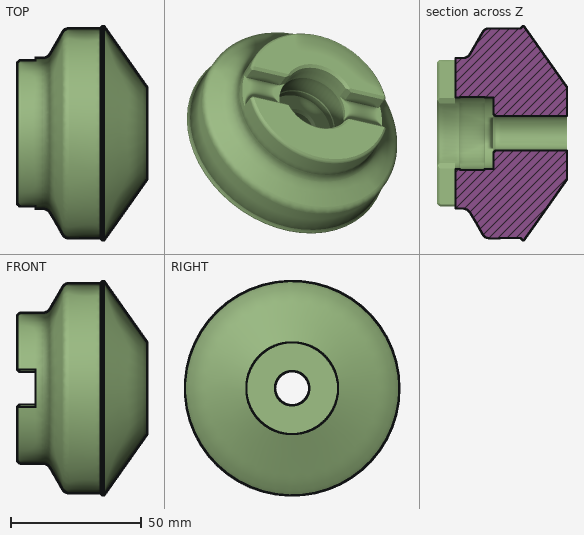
import cadquery as cq
import math

length = 50.0
hub_radius = 29.0
hub_length = 11.7
drum_radius = 40.4
flare_angle = 60
flare_end = hub_length + (drum_radius - hub_radius) / math.tan(math.radians(flare_angle))
flare_fillet = 3.0
edge_chamfer = 1.0
hub_edge_fillet = 1.2

lip_start = 32.0
lip_radius = 41.25
lip_bevel = lip_radius - drum_radius
lip_end = 33.3
nose_radius = 17.65

bore_radius = 13.6
bore_depth = 21.45
relief_start = 8.6
relief_end = 18.5
relief_depth = 0.3
hole_radius = 6.5
hole_chamfer = 1.0
slot_width = 12.4
slot_depth = 7.0
slot_hub_bevel = 1.0
slot_bore_bevel = 1.4


def make_body():
    """Revolve the outer profile, then round the hub edge and both ends of the flare."""
    profile = (
        cq.Workplane("XY")
        .moveTo(0, 0)
        .lineTo(0, hub_radius - edge_chamfer)
        .lineTo(edge_chamfer, hub_radius)
        .lineTo(hub_length, hub_radius)
        .lineTo(flare_end, drum_radius)
        .lineTo(lip_start, drum_radius)
        .lineTo(lip_start + lip_bevel, lip_radius)
        .lineTo(lip_end, lip_radius)
        .lineTo(length, nose_radius)
        .lineTo(length, 0)
        .close()
    )
    body = profile.revolve(360, (0, 0, 0), (1, 0, 0))
    margin = 0.1
    rounded_corners = (
        (edge_chamfer, hub_edge_fillet),
        (hub_length, flare_fillet),
        (flare_end, flare_fillet),
    )
    for corner, radius in rounded_corners:
        corner_box = cq.selectors.BoxSelector(
            (corner - margin, -length, -length), (corner + margin, length, length), boundingbox=True
        )
        body = body.edges(corner_box).edges("%CIRCLE").fillet(radius)
    return body


def make_cylinder(start, radius, depth):
    """Solid cylinder on the part axis, running in +X from start."""
    return cq.Workplane("YZ", origin=(start, 0, 0)).circle(radius).extrude(depth)


def make_entry_cone(start, radius, chamfer):
    """Cone that bevels the -X mouth of a bore at 45 degrees."""
    return (
        cq.Workplane("XY")
        .moveTo(start, 0)
        .lineTo(start, radius + chamfer)
        .lineTo(start + chamfer, radius)
        .lineTo(start + chamfer, 0)
        .close()
        .revolve(360, (0, 0, 0), (1, 0, 0))
    )


def make_bore_relief():
    """Ring groove in the bore wall with 45 degree sides."""
    return (
        cq.Workplane("XY")
        .moveTo(relief_start, 0)
        .lineTo(relief_start, bore_radius)
        .lineTo(relief_start + relief_depth, bore_radius + relief_depth)
        .lineTo(relief_end - relief_depth, bore_radius + relief_depth)
        .lineTo(relief_end, bore_radius)
        .lineTo(relief_end, 0)
        .close()
        .revolve(360, (0, 0, 0), (1, 0, 0))
    )


def make_slot():
    """Straight drive slot along Y across the hub face."""
    return cq.Workplane("XY").box(2 * slot_depth, 2 * lip_radius, slot_width)


def make_slot_bevel():
    """Prism that bevels both mouth edges of the slot at 45 degrees."""
    half = slot_width / 2
    return (
        cq.Workplane("XZ")
        .moveTo(0, half + edge_chamfer)
        .lineTo(edge_chamfer, half)
        .lineTo(edge_chamfer, -half)
        .lineTo(0, -half - edge_chamfer)
        .close()
        .extrude(hub_radius, both=True)
    )


def bevel_slot_corners(part):
    """Bevel the upright edges where the slot walls meet the bore and the hub side."""
    half = slot_width / 2
    margin = 0.1
    corner_bevels = (
        (bore_radius, slot_bore_bevel),
        (hub_radius, slot_hub_bevel),
    )
    for reach, bevel in corner_bevels:
        for side in (-half, half):
            wall_box = cq.selectors.BoxSelector(
                (-margin, -reach, side - margin),
                (slot_depth + margin, reach, side + margin),
                boundingbox=True,
            )
            corners = part.edges(wall_box).edges("|X").edges(">Y or <Y")
            part = corners.chamfer(bevel)
    return part


slotted_body = make_body().cut(make_slot()).cut(make_cylinder(0, bore_radius, bore_depth))
result = (
    bevel_slot_corners(slotted_body)
    .cut(make_slot_bevel())
    .cut(make_entry_cone(0, bore_radius, edge_chamfer))
    .cut(make_bore_relief())
    .cut(make_cylinder(0, hole_radius, length))
    .cut(make_entry_cone(bore_depth, hole_radius, hole_chamfer))
)